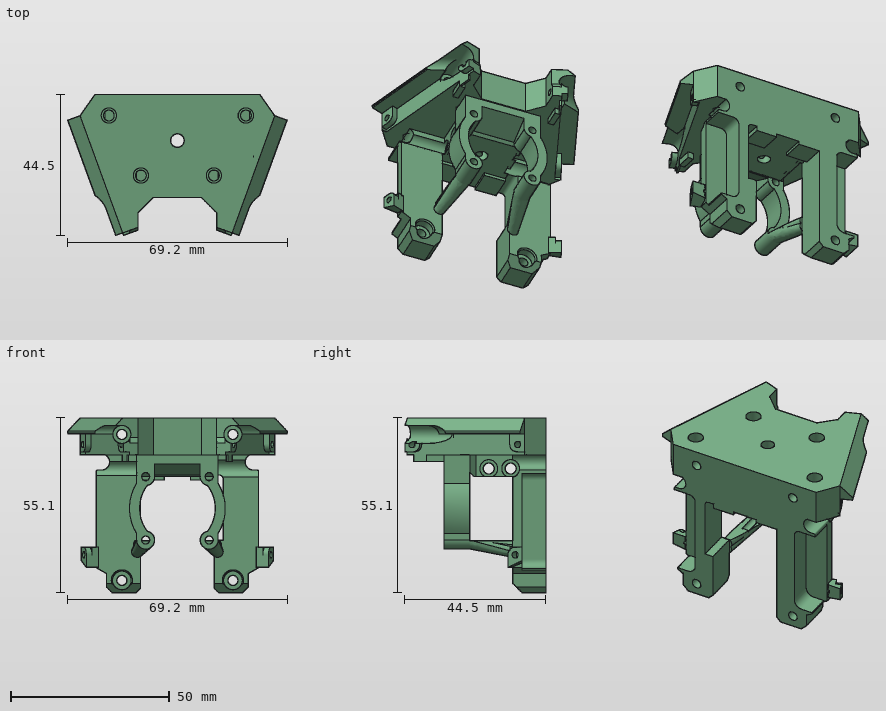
import math

import cadquery as cq


plate_thickness = 11.68
plate_rear_half_width = 25.95
side_tilt = math.radians(20)
wall_x, wall_y = 30.69, -6.74
wall_length = 39.34
notch_half_width = 12.4
notch_corner = 4.85
notch_y = -32.55
recess_depth = 1.9

flange_reach = 4.18
flange_lip = 4.7
flange_depth = 5.12
lip_break = 0.15

lug_length = 5.0
lug_bottom = 10.7
lug_hole_depth = 8.35
lug_hole_radius = 1.0
lug_corner = lug_bottom - lug_hole_depth
rear_lug_hole_reach = 10.0
notch_hole_reach = 30.0
nose_length = 0.85
nose_slope_top, nose_slope_bottom = 6.1, 7.9

tab_depth = 13.8
tab_start, tab_end = 33.6, 37.9
tab_thickness = 0.6
rib_inner_x, rib_outer_x = 15.4, 17.3
rib_front_y = -37.6

screw_x = 17.5
upper_screw_z, lower_screw_z = -5.2, -51.2
screw_radius = 1.55
upper_head_radius = 2.84
upper_head_seat_y = -29.2
access_turn_y = -37.8
lower_head_radius = 2.95
lower_head_depth = 3.0
lower_head_mouth_radius = 3.35
lower_head_mouth_depth = 0.5

insert_places = [(21.6, -6.7), (11.5, -25.6)]
insert_radius, insert_depth = 2.4, 6.0
insert_pilot_radius = 1.7
centre_hole_y, centre_hole_radius = -14.6, 2.1

block_bottom = -18.5
block_half_width = 10.9
flare_start_y = -22.0
block_edge_break = 1.3
cross_hole_ys = (-11.15, -18.05)
cross_hole_z = -15.95
cross_hole_radius = 1.7
cross_head_seat_x = 9.9
cross_head_radii = {-1: 2.35, 1: 2.8}
pad_inner_x = 4.1
pad_bottom = -19.6

leg_depth = 10.5
leg_inner_x, leg_outer_x = 11.55, 25.6
leg_shoulder_z = -16.4
leg_shoulder_round = 0.45
leg_slope_top_z, leg_slope_bottom_z = -47.2, -49.05
foot_outer_x = 22.4
foot_bottom = -55.12
foot_outer_break, foot_inner_break = 1.87, 1.5
foot_front_break = 3.0
scallop_x, scallop_z, scallop_radius = 23.9, -13.9, 2.5
side_pocket_width = 7.55
side_pocket_top, side_pocket_bottom = -17.5, -47.4
side_pocket_depth = 7.6
lower_lip_x, lower_lip_z = 24.4, -48.1
side_pocket_top_radius, side_pocket_bottom_radius = 2.1, 2.75

leg_lug_corner = (28.7, -12.0)
leg_lug_length = 6.0
leg_lug_width = 4.1
leg_lug_top, leg_lug_bottom = 40.7, 47.1
leg_lug_rear_bottom = 44.4
leg_lug_hole_back, leg_lug_hole_depth = 2.4, 43.15
leg_lug_round_width = 1.9

ring_rear_y, ring_front_y = -24.0, -32.2
ring_z = -28.5
ring_outer_radius, ring_inner_radius = 15.1, 11.9
ring_flat_x = 12.87
fan_pitch = 20.0
fan_boss_radius, fan_hole_radius = 2.84, 1.25
fan_hole_end_y = -18.0
window_half_width = 7.2
window_top_z = -14.5
ring_open_half_width = 8.0

strut_roots = [(12.6, -42.1, 1.85), (12.3, -40.0, 1.6)]
strut_top_z = -38.7

opening_x, opening_top, opening_bottom, opening_corner = 14.4, -18.0, -38.5, 1.3

far = 60.0
overlap = 0.2
sin_t, cos_t = math.sin(side_tilt), math.cos(side_tilt)


def box(x0, x1, y0, y1, z0, z1):
    return cq.Workplane("XY").box(x1 - x0, y1 - y0, z1 - z0, centered=False).translate((x0, y0, z0))


def cylinder(start, direction, radius, length):
    return cq.Workplane(cq.Solid.makeCylinder(radius, length, cq.Vector(*start), cq.Vector(*direction)))


def on_wall(along, outward=0.0):
    """Plan position from the distance along the side wall and the distance out of it."""
    x = wall_x - along * sin_t + outward * cos_t
    y = wall_y - along * cos_t - outward * sin_t
    return x, y


def wall_plane(outward=0.0):
    """Plane parallel to the side wall: x along it to the front, y downwards, normal outwards."""
    return cq.Plane((*on_wall(0, outward), 0), (-sin_t, -cos_t, 0), (cos_t, -sin_t, 0))


def wall_slab(along0, along1, depth0, depth1, inner, outer):
    corners = [(along0, depth0), (along1, depth0), (along1, depth1), (along0, depth1)]
    return cq.Workplane(wall_plane(inner)).polyline(corners).close().extrude(outer - inner)


def make_plate():
    end_x, end_y = on_wall(wall_length)
    inner_y = end_y + (end_x - notch_half_width) * sin_t / cos_t
    outline = [
        (0, 0),
        (plate_rear_half_width, 0),
        (wall_x, wall_y),
        (end_x, end_y),
        (notch_half_width, inner_y),
        (notch_half_width, notch_y - notch_corner),
        (notch_half_width - notch_corner, notch_y),
        (0, notch_y),
    ]
    plate = cq.Workplane("XY").polyline(outline).close().extrude(-plate_thickness)
    arm_width = (end_x - notch_half_width) / cos_t
    nose = (
        cq.Workplane(wall_plane())
        .moveTo(wall_length - overlap, nose_slope_top)
        .lineTo(wall_length, nose_slope_top)
        .lineTo(wall_length + nose_length, nose_slope_bottom)
        .lineTo(wall_length + nose_length, plate_thickness)
        .lineTo(wall_length - overlap, plate_thickness)
        .close()
        .extrude(-2 * arm_width)
        .intersect(box(notch_half_width, far, -far, 0, -far, 0))
    )
    recess = wall_slab(0, far, flange_depth, far, -recess_depth, far)
    return plate.union(nose).cut(recess)


def make_flange():
    """Wedge running down at 45 degrees from the top edge of the side wall."""
    section = cq.Plane((wall_x, wall_y, 0), (cos_t, -sin_t, 0), (-sin_t, -cos_t, 0))
    return (
        cq.Workplane(section)
        .moveTo(-recess_depth - overlap, 0)
        .lineTo(0, 0)
        .lineTo(flange_reach, -flange_reach)
        .lineTo(flange_reach, -flange_lip)
        .lineTo(flange_reach - lip_break, -flange_depth)
        .lineTo(-recess_depth - overlap, -flange_depth)
        .close()
        .extrude(wall_length)
    )


def make_wall_lug(round_along, square_along):
    """Lug on the recessed wall; its lower corner at round_along is rounded."""
    lug = wall_slab(
        min(round_along, square_along), max(round_along, square_along),
        flange_depth - overlap, lug_bottom, -recess_depth - overlap, 0,
    )
    hole_along = round_along + math.copysign(lug_corner, square_along - round_along)
    corner = wall_slab(
        min(round_along, hole_along), max(round_along, hole_along),
        lug_hole_depth, lug_bottom, -recess_depth, 0,
    )
    disc = cq.Workplane(wall_plane()).center(hole_along, lug_hole_depth).circle(lug_corner)
    return lug.cut(corner.cut(disc.extrude(-recess_depth)))


def lug_hole(along, reach):
    return cq.Workplane(wall_plane()).center(along, lug_hole_depth).circle(lug_hole_radius).extrude(-reach)


def make_tab():
    tab = wall_slab(
        tab_start, tab_end, plate_thickness - overlap, tab_depth,
        -recess_depth - tab_thickness, -recess_depth,
    )
    rib = box(rib_inner_x, rib_outer_x, rib_front_y, ring_front_y, -tab_depth, overlap - plate_thickness)
    return tab.union(rib)


def make_head_access():
    """Screw-head bore along Y that opens sideways through the flange with a rounded rear edge."""
    bore = cylinder((screw_x, upper_head_seat_y, upper_screw_z), (0, -1, 0), upper_head_radius, far)
    turn = (screw_x, access_turn_y)
    side = cylinder((*turn, upper_screw_z), (cos_t, sin_t, 0), upper_head_radius, far)
    side = side.intersect(wall_slab(-far, far, -far, far, -recess_depth, far))
    slot = (
        cq.Workplane("XY")
        .workplane(offset=upper_screw_z - upper_head_radius)
        .polyline([turn, (turn[0] + far * cos_t, turn[1] + far * sin_t), (far, -far), (screw_x, -far)])
        .close()
        .extrude(2 * upper_head_radius)
    )
    return bore.union(side).union(slot)


def make_block():
    block = box(0, block_half_width, ring_rear_y, 0, block_bottom, overlap - plate_thickness)
    flare = (
        cq.Workplane("XY")
        .workplane(offset=block_bottom)
        .polyline([
            (block_half_width - overlap, flare_start_y),
            (block_half_width, flare_start_y),
            (ring_flat_x, ring_rear_y),
            (block_half_width - overlap, ring_rear_y),
        ])
        .close()
        .extrude(-plate_thickness + overlap - block_bottom)
    )
    edge_break = (
        cq.Workplane("YZ")
        .moveTo(ring_rear_y, block_bottom)
        .lineTo(ring_rear_y + block_edge_break, block_bottom)
        .lineTo(ring_rear_y, block_bottom + block_edge_break)
        .close()
        .extrude(far)
    )
    pad = box(pad_inner_x, leg_inner_x + overlap, -side_pocket_width, 0, pad_bottom, block_bottom + overlap)
    return block.union(flare).cut(edge_break).union(pad)


def make_leg():
    outline = [
        (block_half_width - overlap, overlap - plate_thickness),
        (scallop_x, overlap - plate_thickness),
        (scallop_x, leg_shoulder_z),
        (leg_outer_x, leg_shoulder_z),
        (leg_outer_x, leg_slope_top_z),
        (foot_outer_x, leg_slope_bottom_z),
        (foot_outer_x, foot_bottom + foot_outer_break),
        (foot_outer_x - foot_outer_break, foot_bottom),
        (leg_inner_x + foot_inner_break, foot_bottom),
        (leg_inner_x, foot_bottom + foot_inner_break),
        (leg_inner_x, block_bottom),
        (block_half_width - overlap, block_bottom),
    ]
    leg = cq.Workplane("XZ").polyline(outline).close().extrude(leg_depth)
    leg = leg.edges("|Y and >X").edges(">Z").fillet(leg_shoulder_round)
    scallop = cylinder((scallop_x, 0, scallop_z), (0, -1, 0), scallop_radius, leg_depth)
    scallop = scallop.intersect(box(0, far, -far, 0, -far, -plate_thickness))
    front_break = (
        cq.Workplane("YZ")
        .moveTo(-leg_depth, foot_bottom)
        .lineTo(-leg_depth + foot_front_break, foot_bottom)
        .lineTo(-leg_depth, foot_bottom + foot_front_break)
        .close()
        .extrude(far)
    )
    return leg.cut(scallop).cut(front_break).cut(make_side_pocket())


def make_side_pocket():
    """Pocket in the outer side of the leg with rounded inner corners."""
    floor_x = leg_outer_x - side_pocket_depth
    top_r, bottom_r = side_pocket_top_radius, side_pocket_bottom_radius
    return (
        cq.Workplane("XZ")
        .moveTo(leg_outer_x, side_pocket_top)
        .lineTo(floor_x + top_r, side_pocket_top)
        .radiusArc((floor_x, side_pocket_top - top_r), -top_r)
        .lineTo(floor_x, side_pocket_bottom + bottom_r)
        .radiusArc((floor_x + bottom_r, side_pocket_bottom), -bottom_r)
        .lineTo(lower_lip_x, side_pocket_bottom)
        .lineTo(lower_lip_x, lower_lip_z)
        .lineTo(leg_outer_x, lower_lip_z)
        .close()
        .extrude(side_pocket_width)
    )


def make_leg_lug():
    """Lug beside the leg, set parallel to the tilted side wall."""
    face = cq.Plane((*leg_lug_corner, 0), (-sin_t, -cos_t, 0), (cos_t, -sin_t, 0))
    hole = (-leg_lug_hole_back, leg_lug_hole_depth)
    lug = (
        cq.Workplane(face)
        .moveTo(0, leg_lug_top)
        .lineTo(0, leg_lug_bottom)
        .lineTo(-leg_lug_length, leg_lug_rear_bottom)
        .lineTo(-leg_lug_length, leg_lug_top)
        .close()
        .extrude(-leg_lug_width)
    )
    corner = cq.Workplane(face).moveTo(hole[0], leg_lug_top).lineTo(0, leg_lug_top)
    corner = corner.lineTo(0, hole[1]).lineTo(*hole).close().extrude(-leg_lug_round_width)
    disc = cq.Workplane(face).center(*hole).circle(leg_lug_hole_back).extrude(-leg_lug_round_width)
    bore = cq.Workplane(face).center(*hole).circle(lug_hole_radius).extrude(-leg_lug_width)
    ahead_of_pocket = box(0, far, -far, -side_pocket_width, -far, 0)
    return lug.cut(corner.cut(disc)).cut(bore).intersect(ahead_of_pocket)


def make_ring():
    """Half of the open ring that carries the fan."""
    depth = ring_rear_y - ring_front_y
    fan_x = fan_pitch / 2
    top_hole_z, bottom_hole_z = ring_z + fan_pitch / 2, ring_z - fan_pitch / 2

    def disc(x, z, radius):
        return cylinder((x, ring_rear_y, z), (0, -1, 0), radius, depth)

    shoulder = math.sqrt(ring_outer_radius**2 - ring_flat_x**2)
    arm = disc(0, ring_z, ring_outer_radius).intersect(
        box(ring_open_half_width, far, -far, 0, bottom_hole_z, ring_z + shoulder)
    )
    top = box(0, ring_flat_x, ring_front_y, ring_rear_y, ring_z + shoulder, overlap - plate_thickness)
    lower_flat = box(fan_x, ring_flat_x, ring_front_y, ring_rear_y, bottom_hole_z, ring_z - shoulder)
    ring = arm.union(top).union(lower_flat).cut(disc(0, ring_z, ring_inner_radius))
    for z in (top_hole_z, bottom_hole_z):
        ring = ring.union(disc(fan_x, z, fan_boss_radius))
    ceiling = box(0, window_half_width, ring_front_y, ring_rear_y, block_bottom, overlap - plate_thickness)
    slope_end_y = ring_rear_y + block_edge_break
    window = (
        cq.Workplane("YZ")
        .polyline([
            (ring_front_y, window_top_z),
            (slope_end_y, block_bottom),
            (slope_end_y, ring_z),
            (ring_front_y, ring_z),
        ])
        .close()
        .extrude(window_half_width)
    )
    ring = ring.union(ceiling).cut(window).union(make_strut(fan_x, bottom_hole_z))
    ring = ring.cut(cylinder((fan_x, ring_rear_y, top_hole_z), (0, -1, 0), fan_hole_radius, depth))
    return ring.cut(cylinder((fan_x, fan_hole_end_y, bottom_hole_z), (0, -1, 0), fan_hole_radius, far))


def make_strut(boss_x, boss_z):
    """Two merged round tapers from the leg to the lower boss, flattened on top."""
    length = -leg_depth - ring_rear_y
    tapers = []
    for root_x, root_z, root_radius in strut_roots:
        taper = (
            cq.Workplane("XZ", origin=(0, -leg_depth, 0))
            .center(root_x, root_z)
            .circle(root_radius)
            .workplane(offset=length)
            .center(boss_x - root_x, boss_z - root_z)
            .circle(fan_boss_radius)
            .loft(ruled=True)
        )
        tapers.append(taper.intersect(box(0, far, -far, 0, -far, strut_top_z)))
    return tapers[0].union(tapers[1])


def drill_half(half):
    for x, y in insert_places:
        half = half.cut(cylinder((x, y, 0), (0, 0, -1), insert_radius, insert_depth))
        half = half.cut(cylinder((x, y, 0), (0, 0, -1), insert_pilot_radius, plate_thickness))
    for z in (upper_screw_z, lower_screw_z):
        half = half.cut(cylinder((screw_x, 0, z), (0, -1, 0), screw_radius, far))
    seat_y = lower_head_depth - leg_depth
    half = half.cut(cylinder((screw_x, seat_y, lower_screw_z), (0, -1, 0), lower_head_radius, far))
    mouth = cq.Solid.makeCone(
        lower_head_mouth_radius, lower_head_radius, lower_head_mouth_depth,
        cq.Vector(screw_x, -leg_depth, lower_screw_z), cq.Vector(0, 1, 0),
    )
    return half.cut(cq.Workplane(mouth))


def drill_middle(part):
    """Vertical hole on the mid-plane and the cross holes running from side to side."""
    part = part.cut(cylinder((0, centre_hole_y, 0), (0, 0, -1), centre_hole_radius, far))
    for y in cross_hole_ys:
        part = part.cut(cylinder((-far, y, cross_hole_z), (1, 0, 0), cross_hole_radius, 2 * far))
        for side, radius in cross_head_radii.items():
            seat = (side * cross_head_seat_x, y, cross_hole_z)
            part = part.cut(cylinder(seat, (side, 0, 0), radius, far))
    return part


def make_half():
    front_end = wall_length + nose_length
    half = make_plate().union(make_flange())
    half = half.union(make_wall_lug(lug_length, 0)).union(make_wall_lug(front_end - lug_length, front_end))
    half = half.union(make_tab()).cut(make_head_access())
    half = half.cut(lug_hole(lug_corner, rear_lug_hole_reach))
    half = half.cut(lug_hole(front_end - lug_corner, notch_hole_reach))
    half = half.union(make_block()).union(make_leg())
    half = drill_half(half)
    return half.union(make_leg_lug()).union(make_ring())


def make_opening():
    """Clearance beside the +X leg, rounded at its upper inner corner."""
    opening = box(0, opening_x, -leg_depth, 0, opening_bottom, opening_top)
    opening = opening.edges("|Y and >X and >Z").fillet(opening_corner)
    return opening.intersect(box(leg_inner_x - overlap, far, -far, 0, -far, 0))


right_half = make_half()
both_halves = right_half.union(right_half.mirror("YZ"))
result = drill_middle(both_halves).cut(make_opening())